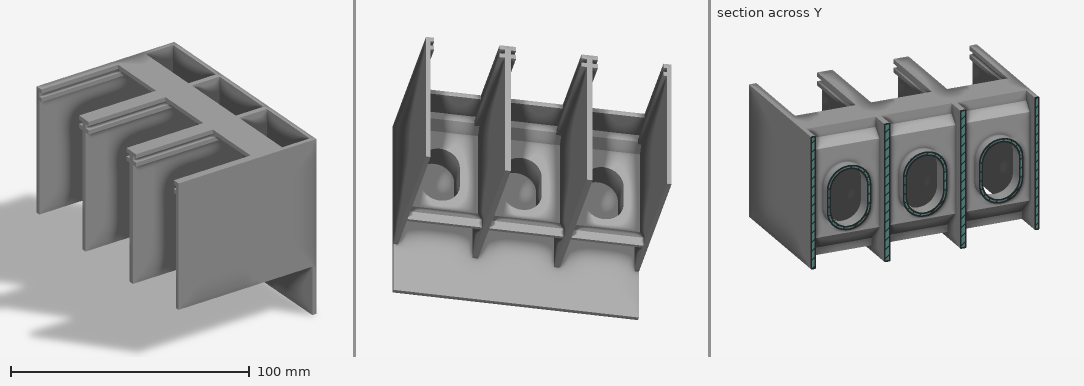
import cadquery as cq
import math

WIDTH = 105.0
DEPTH = 70.0
HEIGHT = 83.0

BAY_COUNT = 3
BAY_PITCH = WIDTH / BAY_COUNT
SIDE_WALL = 2.0
DIVIDER = 2.5
BACK_WALL = 2.0
SIDE_WALL_HEIGHT = 60.0
DIVIDER_HEIGHT = 62.5

ROOF = 2.0
ROOF_BACK = 16.0
ROOF_FRONT = 31.0
RAIL_REACH = 3.5
GROOVE = 2.0
LIP = 2.0

PANEL = 1.5
PANEL_BACK = 12.25
UPPER_BEND = 5.25
LOWER_SLOPE_TOP = 48.0
LOWER_SLOPE_BOTTOM = 56.0
SLOPE_ANGLE = 45.0
BEND_SHIFT = PANEL * math.tan(math.radians(SLOPE_ANGLE / 2))

SLOT_WIDTH = 17.0
SLOT_HEIGHT = 26.0
TUBE_WALL = 1.5
SLOT_DEPTH_BELOW_TOP = 30.5

BAY_CENTERS = [(i - (BAY_COUNT - 1) / 2) * BAY_PITCH for i in range(BAY_COUNT)]
BAY_EDGES = [(i - BAY_COUNT / 2) * BAY_PITCH for i in range(BAY_COUNT + 1)]


def block(x_range, back_range, down_range):
    """Box given by X limits, distances from the back face and depths below the top."""
    x0, x1 = x_range
    b0, b1 = back_range
    d0, d1 = down_range
    return cq.Workplane("XY").box(x1 - x0, b1 - b0, d1 - d0, centered=False).translate((x0, -b1, -d1))


def clipped(center, half_width):
    """X limits of a strip around center, kept inside the part's width."""
    return max(center - half_width, -WIDTH / 2), min(center + half_width, WIDTH / 2)


def make_back_wall():
    return block((-WIDTH / 2, WIDTH / 2), (0, BACK_WALL), (0, HEIGHT))


def make_roof():
    return block((-WIDTH / 2, WIDTH / 2), (ROOF_BACK, ROOF_FRONT), (0, ROOF))


def make_wall(x):
    """Side wall or divider at a bay edge."""
    if abs(x) < WIDTH / 2:
        return block(clipped(x, DIVIDER / 2), (0, DEPTH), (0, DIVIDER_HEIGHT))
    return block(clipped(x, SIDE_WALL), (0, DEPTH), (0, SIDE_WALL_HEIGHT))


def make_rail(x):
    """Top flange and lower lip that leave a groove along the wall."""
    strip = clipped(x, RAIL_REACH)
    flange = block(strip, (ROOF_BACK, DEPTH), (0, ROOF))
    lip_top = ROOF + GROOVE
    lip = block(strip, (ROOF_BACK, DEPTH), (lip_top, lip_top + LIP))
    return flange.union(lip)


def make_panel():
    """Bent sheet of constant thickness, running across all bays."""
    upper_run = ROOF_BACK - PANEL_BACK
    lower_run = LOWER_SLOPE_BOTTOM - LOWER_SLOPE_TOP
    front = PANEL_BACK + PANEL
    back_profile = [
        (ROOF_BACK, 0),
        (ROOF_BACK, UPPER_BEND - BEND_SHIFT),
        (PANEL_BACK, UPPER_BEND + upper_run - BEND_SHIFT),
        (PANEL_BACK, LOWER_SLOPE_TOP + BEND_SHIFT),
        (PANEL_BACK + lower_run, LOWER_SLOPE_BOTTOM + BEND_SHIFT),
        (PANEL_BACK + lower_run, SIDE_WALL_HEIGHT),
    ]
    front_profile = [
        (front + lower_run, SIDE_WALL_HEIGHT),
        (front + lower_run, LOWER_SLOPE_BOTTOM),
        (front, LOWER_SLOPE_TOP),
        (front, UPPER_BEND + upper_run),
        (ROOF_BACK + PANEL, UPPER_BEND),
        (ROOF_BACK + PANEL, 0),
    ]
    outline = [(-back, -down) for back, down in back_profile + front_profile]
    return cq.Workplane("YZ").polyline(outline).close().extrude(WIDTH / 2, both=True)


def oblong(x, grow, back_range):
    """Upright oblong bar along Y, grown all round from the slot's outline."""
    b0, b1 = back_range
    return (
        cq.Workplane("XZ", origin=(x, -b0, -SLOT_DEPTH_BELOW_TOP))
        .slot2D(SLOT_HEIGHT + 2 * grow, SLOT_WIDTH + 2 * grow, 90)
        .extrude(b1 - b0)
    )


result = make_back_wall().union(make_roof()).union(make_panel())
for edge in BAY_EDGES:
    result = result.union(make_wall(edge)).union(make_rail(edge))
for center in BAY_CENTERS:
    result = result.union(oblong(center, TUBE_WALL, (0, PANEL_BACK)))
for center in BAY_CENTERS:
    result = result.cut(oblong(center, 0, (BACK_WALL, PANEL_BACK + PANEL)))